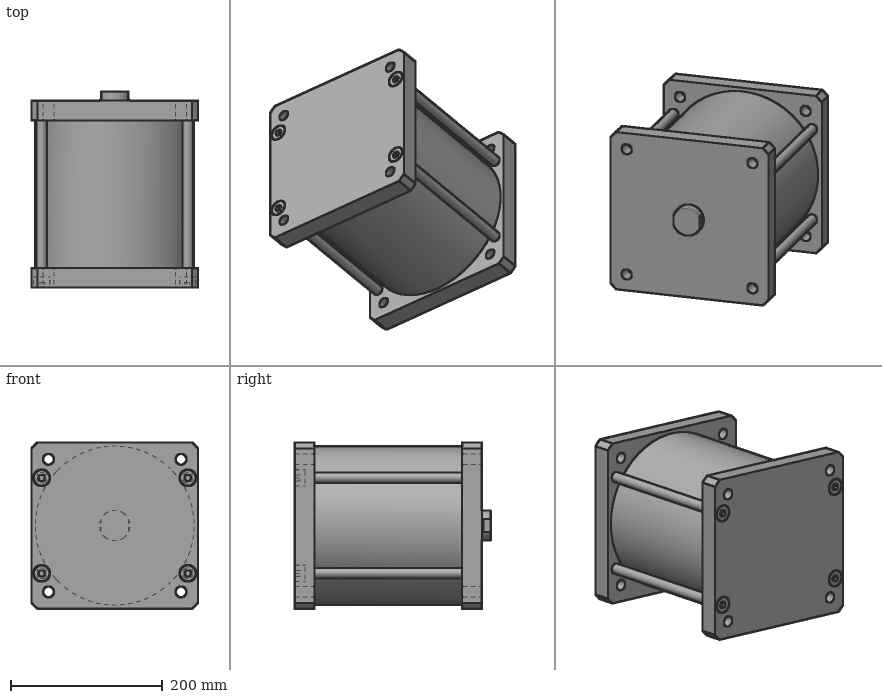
import cadquery as cq
import math

plate_side = 220.0
plate_thickness = 26.0
plate_corner_diameter = 300.0
barrel_diameter = 210.0
barrel_length = 195.0
rear_plate_y = plate_thickness + barrel_length
rear_face_y = rear_plate_y + plate_thickness

mount_hole_diameter = 14.0
mount_hole_offset = 87.5

tie_rod_diameter = 14.0
tie_rod_offset_x = 96.5
tie_rod_offset_z = 63.0
head_diameter = 21.0
counterbore_diameter = 22.0
head_height = 14.0
socket_sides = 6
socket_across_flats = 8.0
socket_across_corners = socket_across_flats / math.cos(math.pi / socket_sides)
socket_depth = 7.0

piston_rod_diameter = 40.0
piston_rod_length = 12.0
flat_distance = 36.0
flat_length = 10.0
flat_runout_angle = 45.0
tip_fillet_radius = 1.5


def plane_at(y):
    """Workplane at the given Y, facing +Y, with its local y axis along Z."""
    return cq.Workplane(cq.Plane(origin=(0, y, 0), xDir=(-1, 0, 0), normal=(0, 1, 0)))


def four_corners(offset_x, offset_z):
    """Centre points mirrored into all four quadrants."""
    return [(sx * offset_x, sz * offset_z) for sx in (-1, 1) for sz in (-1, 1)]


mount_points = four_corners(mount_hole_offset, mount_hole_offset)
tie_rod_points = four_corners(tie_rod_offset_x, tie_rod_offset_z)


def make_end_plate(y):
    """Square plate with its corners turned to a circle and four mounting holes."""
    square = plane_at(y).rect(plate_side, plate_side).extrude(plate_thickness)
    corner_round = plane_at(y).circle(plate_corner_diameter / 2).extrude(plate_thickness)
    holes = plane_at(y).pushPoints(mount_points).circle(mount_hole_diameter / 2).extrude(plate_thickness)
    return square.intersect(corner_round).cut(holes)


def make_barrel():
    """Solid cylinder filling the space between the end plates."""
    return plane_at(plate_thickness).circle(barrel_diameter / 2).extrude(barrel_length)


def make_tie_rods():
    """Rod lengths spanning the gap between the end plates."""
    rods = plane_at(plate_thickness).pushPoints(tie_rod_points)
    return rods.circle(tie_rod_diameter / 2).extrude(barrel_length)


def make_head_recesses():
    """Annular clearance around each screw head, plus its hexagon socket."""
    points = plane_at(0).pushPoints(tie_rod_points)
    counterbores = points.circle(counterbore_diameter / 2).extrude(head_height)
    heads = points.circle(head_diameter / 2).extrude(head_height)
    sockets = points.polygon(socket_sides, socket_across_corners).extrude(socket_depth)
    return counterbores.cut(heads).union(sockets)


def make_flat_cutter(tip_y):
    """Material removed for the +X flat, sloping outward toward the rear plate."""
    flat_x = flat_distance / 2
    flat_end_y = tip_y - flat_length
    runout_length = piston_rod_length - flat_length
    runout_x = flat_x + runout_length * math.tan(math.radians(flat_runout_angle))
    outer_x = piston_rod_diameter
    profile = [
        (flat_x, tip_y),
        (flat_x, flat_end_y),
        (runout_x, rear_face_y),
        (outer_x, rear_face_y),
        (outer_x, tip_y),
    ]
    return cq.Workplane("XY").polyline(profile).close().extrude(piston_rod_diameter / 2, both=True)


def make_piston_rod():
    """Rod end with a rounded tip and a pair of flats facing -X and +X."""
    rod = plane_at(rear_face_y).circle(piston_rod_diameter / 2).extrude(piston_rod_length)
    rod = rod.edges(">Y").fillet(tip_fillet_radius)
    flat_cutter = make_flat_cutter(rear_face_y + piston_rod_length)
    return rod.cut(flat_cutter).cut(flat_cutter.mirror("YZ"))


result = (
    make_end_plate(0)
    .union(make_end_plate(rear_plate_y))
    .union(make_barrel())
    .union(make_tie_rods())
    .union(make_piston_rod())
    .cut(make_head_recesses())
)